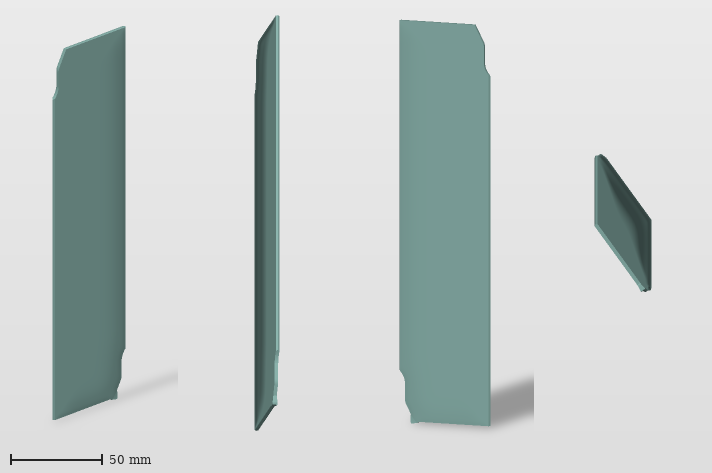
import cadquery as cq
import math

total_length = 225.0
blade_width = 52.0
blade_thickness = 2.0
tip_overhang = 1.1
ridge_depth = 0.7
blade_length = total_length - tip_overhang
blade_center_z = tip_overhang + blade_length / 2

relief_end_inset = 8.8
relief_slope_inset = 4.3
relief_slope_depth = 9.0
relief_face_inset = 3.4
relief_face_start = 12.4
relief_face_end = 21.8
relief_length = 28.4
slope_arc_mid = (3.5, 10.5)
runout_arc_mid = (2.2, 25.5)

insert_width = 3.0
rake_top = (19.4, 5.0)
rake_bottom = (19.4, 1.1)
cutting_tip = (19.0, 0.0)
heel = (15.3, 0.5)
seat_bend = (13.7, 3.4)
seat_back = (12.4, 7.6)
seat_corner = (12.4, 10.0)
seat_top = (16.6, 9.7)
flare_end = (16.2, 1.0)


def blade_outline():
    half_width = blade_width / 2
    half_length = blade_length / 2

    def relief_point(side, inset, depth):
        """Point on the +Y lower relief (side 1) or on the opposite one (side -1)."""
        return side * (half_width - inset), side * (depth - half_length) + blade_center_z

    outline = cq.Workplane("YZ").moveTo(*relief_point(1, relief_end_inset, 0))
    for side in (1, -1):
        outline = (
            outline.lineTo(*relief_point(side, relief_slope_inset, relief_slope_depth))
            .threePointArc(
                relief_point(side, *slope_arc_mid),
                relief_point(side, relief_face_inset, relief_face_start),
            )
            .lineTo(*relief_point(side, relief_face_inset, relief_face_end))
            .threePointArc(
                relief_point(side, *runout_arc_mid),
                relief_point(side, 0, relief_length),
            )
            .lineTo(*relief_point(side, 0, blade_length))
            .lineTo(*relief_point(-side, relief_end_inset, 0))
        )
    return outline.wire()


def ridged_bar():
    """Full-length bar whose cross-section comes to a ridge along each long edge."""
    half_width = blade_width / 2
    half_thickness = blade_thickness / 2
    flat_half_width = half_width - ridge_depth
    section = [
        (0, half_width),
        (half_thickness, flat_half_width),
        (half_thickness, -flat_half_width),
        (0, -half_width),
        (-half_thickness, -flat_half_width),
        (-half_thickness, flat_half_width),
    ]
    return cq.Workplane("XY").polyline(section).close().extrude(total_length)


def insert_prism():
    outline = [
        rake_top, rake_bottom, cutting_tip, heel,
        seat_bend, seat_back, seat_corner, seat_top,
    ]
    return cq.Workplane("YZ").polyline(outline).close().extrude(insert_width / 2, both=True)


def flare_envelope():
    """Bar of blade thickness that widens from the flare line to the cutting tip."""
    line_y = flare_end[0] - rake_top[0]
    line_z = flare_end[1] - rake_top[1]
    line_length = math.hypot(line_y, line_z)
    tip_y = cutting_tip[0] - rake_top[0]
    tip_z = cutting_tip[1] - rake_top[1]
    flare_reach = abs(line_y * tip_z - line_z * tip_y) / line_length
    back_reach = math.dist(rake_top, seat_corner)
    half_thickness = blade_thickness / 2
    half_width = insert_width / 2
    plane = cq.Plane(
        origin=(0, *rake_top), xDir=(1, 0, 0), normal=(0, -line_y, -line_z)
    )
    section = [
        (-half_thickness, -back_reach),
        (half_thickness, -back_reach),
        (half_thickness, 0),
        (half_width, flare_reach),
        (-half_width, flare_reach),
        (-half_thickness, 0),
    ]
    reach = line_length + back_reach
    return cq.Workplane(plane).polyline(section).close().extrude(reach, both=True)


def make_blade():
    plate = blade_outline().extrude(blade_thickness / 2, both=True)
    return plate.intersect(ridged_bar()).cut(insert_prism())


def make_insert():
    return insert_prism().intersect(flare_envelope())


blade = make_blade()
insert = make_insert()
result = cq.Compound.makeCompound([blade.val(), insert.val()])